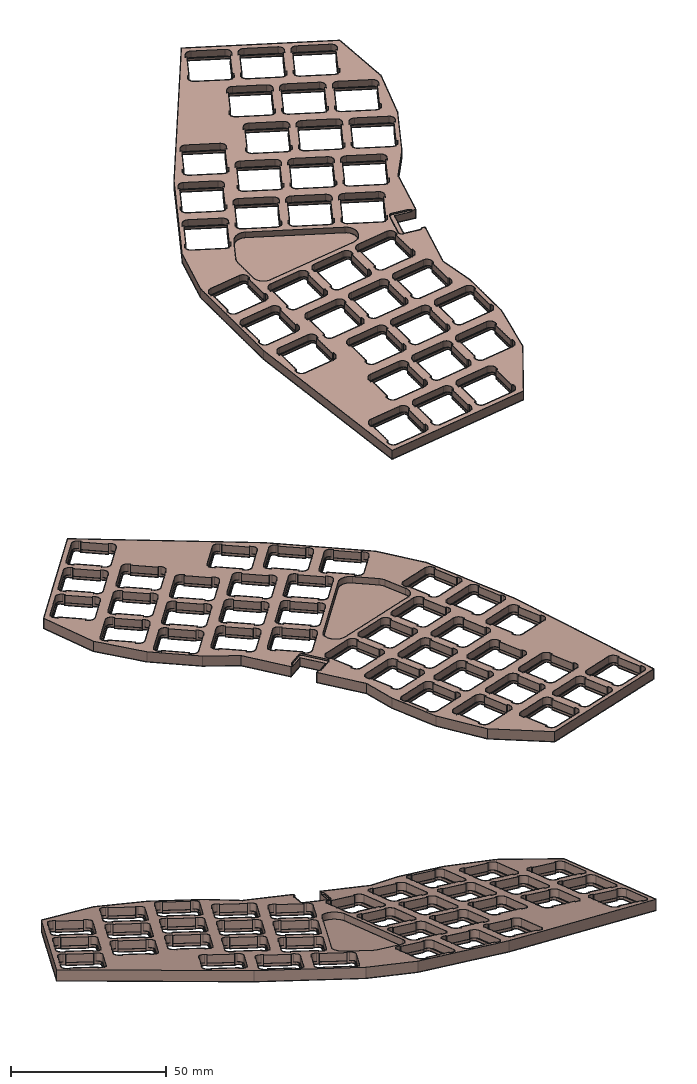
import cadquery as cq
import math

thickness = 3.8
half_angle = 15.0

key_pitch_u = 18.0
key_pitch_v = 17.0
first_column_u = 15.14
home_row_v = -0.58
column_stagger = (-2.0, 0.0, 4.0, 0.0, -12.0)
rows = (-1, 0, 1)
thumb_row = -2
thumb_keys = ((-0.5, -2.0), (0.5, -2.0), (1.5, 0.0))

ledge_height = 1.0
opening_upper_u = 14.6
opening_lower_u = 13.8
opening_ears_v = 15.0
between_upper_tabs = 13.9
between_lower_tabs = 13.8
tab_width = 9.0
lower_ear_radius = 1.0
upper_ear_radius = 2.0

rear_edge_y = 33.6
rear_edge_half_length = 22.0
notch_half_width = 4.5
notch_floor_y = 26.3
seat_half_width = 5.25
seat_front_y = 24.6
seat_rear_y = 32.3
seat_depth = 0.6
seat_radius = 1.0

pocket_floor = 1.4
pocket_radius = 4.0


def to_plate(u, v):
    """Point of the turned right-half frame in plate coordinates."""
    angle = math.radians(half_angle)
    x = u * math.cos(angle) - v * math.sin(angle)
    y = u * math.sin(angle) + v * math.cos(angle)
    return (x, y)


def mirrored(point):
    return (-point[0], point[1])


def column_u(index):
    return first_column_u + index * key_pitch_u


def key_v(stagger, row):
    return home_row_v + stagger + row * key_pitch_v


def key_centres():
    """Key centres of the right half as (u, v)."""
    centres = []
    for index, stagger in enumerate(column_stagger):
        for row in rows:
            centres.append((column_u(index), key_v(stagger, row)))
    for offset, stagger in thumb_keys:
        centres.append((column_u(offset), key_v(stagger, thumb_row)))
    return centres


def cell_corner(index, stagger, row, side_u, side_v):
    """Corner of a key cell; side_u and side_v are -1 or +1."""
    u = column_u(index) + side_u * key_pitch_u / 2
    v = key_v(stagger, row) + side_v * key_pitch_v / 2
    return to_plate(u, v)


def make_plate():
    """Plate outlined by the outer corners of the key cells, with a straight rear edge."""
    inner_thumb, middle_thumb = thumb_keys[:2]
    right_side = [
        cell_corner(*inner_thumb, thumb_row, -1, -1),
        cell_corner(*middle_thumb, thumb_row, 1, -1),
        cell_corner(4, column_stagger[4], -1, 1, -1),
        cell_corner(4, column_stagger[4], 1, 1, 1),
        cell_corner(3, column_stagger[3], 1, 1, 1),
        cell_corner(2, column_stagger[2], 1, 1, 1),
        cell_corner(2, column_stagger[2], 1, -1, 1),
        (rear_edge_half_length, rear_edge_y),
    ]
    left_side = [mirrored(point) for point in reversed(right_side)]
    return cq.Workplane("XY").polyline(right_side + left_side).close().extrude(thickness)


def rounded_block(size_u, size_v, bottom, top, radius):
    block = cq.Workplane("XY").workplane(offset=bottom).rect(size_u, size_v).extrude(top - bottom)
    return block.edges("|Z").fillet(radius)


def opening_layer(size_u, between_tabs, radius, bottom, top):
    """Rounded block notched by a tab at the middle of each side along V."""
    block = rounded_block(size_u, opening_ears_v, bottom, top, radius)
    tab_length = (opening_ears_v - between_tabs) / 2
    tab_v = (opening_ears_v + between_tabs) / 4
    tabs = cq.Workplane("XY").pushPoints([(0, -tab_v), (0, tab_v)]).rect(tab_width, tab_length)
    return block.cut(tabs.extrude(top))


def switch_opening():
    """Cutter for one switch, centred on the origin and square to the axes."""
    lower = opening_layer(opening_lower_u, between_lower_tabs, lower_ear_radius, 0, ledge_height)
    upper = opening_layer(opening_upper_u, between_upper_tabs, upper_ear_radius, ledge_height, thickness)
    return lower.union(upper)


def cut_switch_openings(plate):
    opening = switch_opening()
    cutters = []
    for u, v in key_centres():
        x, y = to_plate(u, v)
        for side in (-1, 1):
            turned = opening.rotate((0, 0, 0), (0, 0, 1), side * half_angle)
            cutters.append(turned.translate((side * x, y, 0)).val())
    return plate.cut(cq.Workplane(cq.Compound.makeCompound(cutters)))


def cut_notch(plate):
    """Through notch in the rear edge with a shallow seat around it."""
    notch_length = rear_edge_y - notch_floor_y
    notch = (
        cq.Workplane("XY")
        .center(0, notch_floor_y + notch_length / 2)
        .rect(2 * notch_half_width, notch_length)
        .extrude(thickness)
    )
    seat_length = seat_rear_y - seat_front_y
    seat = rounded_block(2 * seat_half_width, seat_length, thickness - seat_depth, thickness, seat_radius)
    seat = seat.translate((0, seat_front_y + seat_length / 2, 0))
    return plate.cut(notch).cut(seat)


def cut_pocket(plate):
    """Kite bounded by the inner column cells and the top of the inner thumb cells."""
    side_u = first_column_u - key_pitch_u / 2
    front_v = key_v(thumb_keys[0][1], thumb_row) + key_pitch_v / 2
    angle = math.radians(half_angle)
    rear_tip = (0, side_u / math.sin(angle))
    front_tip = (0, front_v / math.cos(angle))
    corner = to_plate(side_u, front_v)
    pocket = (
        cq.Workplane("XY")
        .workplane(offset=pocket_floor)
        .polyline([rear_tip, mirrored(corner), front_tip, corner])
        .close()
        .extrude(thickness - pocket_floor)
        .edges("|Z")
        .fillet(pocket_radius)
    )
    return plate.cut(pocket)


result = cut_pocket(cut_notch(cut_switch_openings(make_plate())))